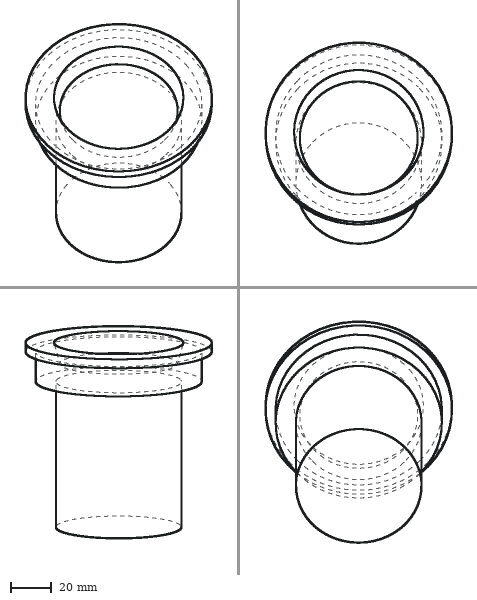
import cadquery as cq
import math

total_height = 92.5

body_diameter = 62.0
collar_diameter = 82.0
collar_height = 15.0
flange_diameter = 92.0
flange_thickness = 4.5
body_height = total_height - collar_height - flange_thickness

recess_top_diameter = 63.8
recess_depth = 10.5
recess_wall_angle = 15.0
recess_wall_inset = recess_depth * math.tan(math.radians(recess_wall_angle))
recess_floor_diameter = recess_top_diameter - 2 * recess_wall_inset


def disc(diameter, height, base_z):
    """Vertical cylinder on the Z axis, standing on base_z."""
    return cq.Workplane("XY").workplane(offset=base_z).circle(diameter / 2).extrude(height)


def conical_recess():
    """Tapered cutter that narrows from the top face down to a flat floor."""
    return (
        cq.Workplane("XY")
        .workplane(offset=total_height - recess_depth)
        .circle(recess_floor_diameter / 2)
        .workplane(offset=recess_depth)
        .circle(recess_top_diameter / 2)
        .loft(ruled=True)
    )


body = disc(body_diameter, body_height, 0)
collar = disc(collar_diameter, collar_height, body_height)
flange = disc(flange_diameter, flange_thickness, body_height + collar_height)

result = body.union(collar).union(flange).cut(conical_recess())